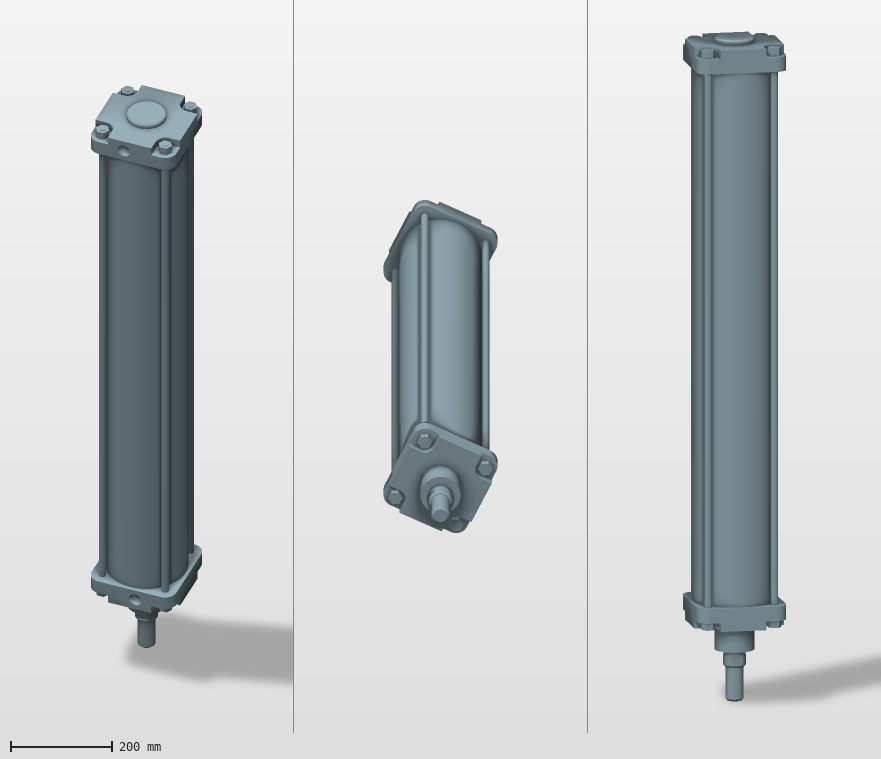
import cadquery as cq
import math


total_length = 1337.0
cap_side = 180.0
cap_thickness = 47.0
cap_corner_radius = 24.0

boss_diameter = 79.0
rear_boss_height = 10.0
front_boss_height = 53.0
rear_boss_chamfer = 3.0

pocket_side = 44.0
pocket_depth = 17.0
pocket_corner_radius = 21.0

port_diameter = 24.0
port_chamfer = 1.0
port_depth = 20.0
port_offset = 12.0

tie_rod_spacing = 134.0
tie_rod_diameter = 15.0
nut_across_flats = 24.0
stud_diameter = 12.0
stud_length = 1.0

barrel_diameter = 166.0

rod_diameter = 43.0
rod_exposed_length = 35.0
collar_diameter = 45.0
collar_length = 24.0
collar_chamfer = 4.0
flats_across = 39.0
flats_length = 16.0
flats_bottom_gap = 8.0
thread_diameter = 36.0
thread_length = 68.0
thread_chamfer = 4.0

front_boss_end = thread_length + rod_exposed_length
front_cap_bottom = front_boss_end + front_boss_height
front_cap_top = front_cap_bottom + cap_thickness
rear_cap_top = total_length - rear_boss_height
rear_cap_bottom = rear_cap_top - cap_thickness

tie_rod_half_spacing = tie_rod_spacing / 2
corner_signs = [(-1, -1), (-1, 1), (1, -1), (1, 1)]


def cylinder(diameter, bottom, top):
    return cq.Workplane("XY").workplane(offset=bottom).circle(diameter / 2).extrude(top - bottom)


def corner_pocket(sign_x, sign_y, bottom):
    """Square cutter over one cap corner, rounded where it points at the cap's axis."""
    corner = cap_side / 2
    center = corner - pocket_side / 2
    inner_edge = (-sign_x * pocket_side / 2, -sign_y * pocket_side / 2, pocket_depth / 2)
    return (
        cq.Workplane("XY")
        .box(pocket_side, pocket_side, pocket_depth, centered=(True, True, False))
        .edges(cq.selectors.NearestToPointSelector(inner_edge))
        .fillet(pocket_corner_radius)
        .translate((sign_x * center, sign_y * center, bottom))
    )


def end_cap(bottom, pocket_bottom, port_x):
    """Square cap with rounded corners, nut pockets, tie-rod holes and one port."""
    cap = (
        cq.Workplane("XY")
        .workplane(offset=bottom)
        .rect(cap_side, cap_side)
        .extrude(cap_thickness)
        .edges("|Z")
        .fillet(cap_corner_radius)
    )
    for sign_x, sign_y in corner_signs:
        hole = cylinder(tie_rod_diameter, bottom, bottom + cap_thickness)
        cap = cap.cut(corner_pocket(sign_x, sign_y, pocket_bottom))
        cap = cap.cut(hole.translate((sign_x * tie_rod_half_spacing, sign_y * tie_rod_half_spacing, 0)))
    port = (
        cq.Workplane("XZ", origin=(port_x, -cap_side / 2, bottom + cap_thickness / 2))
        .circle(port_diameter / 2)
        .extrude(-port_depth)
    )
    port_mouth = cq.selectors.NearestToPointSelector((port_x, -cap_side / 2, bottom + cap_thickness / 2))
    return cap.cut(port).edges(port_mouth).chamfer(port_chamfer)


def make_rear_cap():
    cap = end_cap(rear_cap_bottom, rear_cap_top - pocket_depth, -port_offset)
    boss = cylinder(boss_diameter, rear_cap_top, total_length).faces(">Z").chamfer(rear_boss_chamfer)
    return cap.union(boss)


def make_front_cap():
    """Cap with a long guide boss, bored through for the piston rod."""
    cap = end_cap(front_cap_bottom, front_cap_bottom, port_offset)
    cap = cap.union(cylinder(boss_diameter, front_boss_end, front_cap_bottom))
    return cap.cut(cylinder(rod_diameter, front_boss_end, front_cap_top))


def make_piston_rod():
    """Rod with a collar that carries two wrench flats, and a thinner threaded end."""
    collar_top = thread_length + collar_length
    collar = cylinder(collar_diameter, thread_length, collar_top).faces("<Z").chamfer(collar_chamfer)
    rod = cylinder(rod_diameter, collar_top, front_cap_top).union(collar)
    for side in (-1, 1):
        flat = (
            cq.Workplane("XY")
            .box(collar_diameter, collar_diameter, flats_length, centered=(True, True, False))
            .translate((0, side * (flats_across + collar_diameter) / 2, thread_length + flats_bottom_gap))
        )
        rod = rod.cut(flat)
    thread = cylinder(thread_diameter, 0, thread_length).faces("<Z").chamfer(thread_chamfer)
    return rod.union(thread)


def make_tie_rod(x, y):
    """Round rod with a hex nut in each pocket; a thin stud at each end is flush with the cap face."""
    rod = cylinder(tie_rod_diameter, front_cap_bottom + stud_length, rear_cap_top - stud_length)
    stud = cylinder(stud_diameter, front_cap_bottom, rear_cap_top)
    nut_corner_diameter = nut_across_flats / math.cos(math.pi / 6)
    nut = cq.Workplane("XY").polygon(6, nut_corner_diameter).extrude(pocket_depth - stud_length)
    rear_nut = nut.translate((0, 0, rear_cap_top - pocket_depth))
    front_nut = nut.translate((0, 0, front_cap_bottom + stud_length))
    return rod.union(stud).union(rear_nut).union(front_nut).translate((x, y, 0))


barrel = cylinder(barrel_diameter, front_cap_top, rear_cap_bottom)
rear_cap = make_rear_cap()
front_cap = make_front_cap()
piston_rod = make_piston_rod()
tie_rods = [
    make_tie_rod(sign_x * tie_rod_half_spacing, sign_y * tie_rod_half_spacing)
    for sign_x, sign_y in corner_signs
]

result = cq.Compound.makeCompound(
    [barrel.val(), rear_cap.val(), front_cap.val(), piston_rod.val()] + [rod.val() for rod in tie_rods]
)